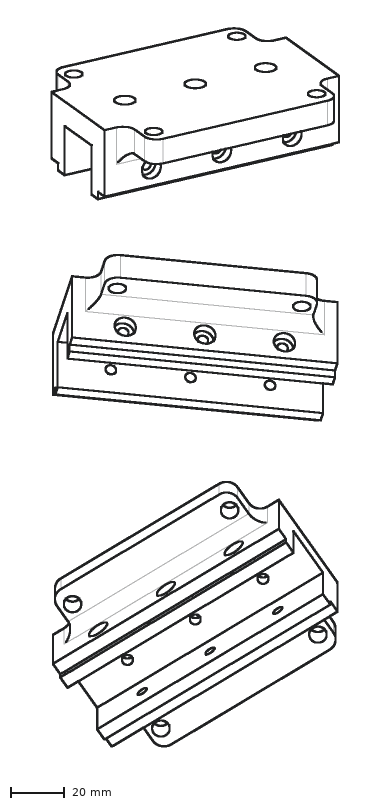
import cadquery as cq

length = 100.0
height = 30.0
body_width = 40.0
slot_width = 20.0

plate_width = 75.0
plate_length = 80.0
plate_thickness = 10.0
blend_radius = 5.0

foot_outer_width = 30.0
foot_height = 3.0

mount_diameter = 6.5
mount_spacing_x = 60.0
mount_spacing_y = 69.5
screw_diameter = 4.0
head_diameter = 8.0
head_depth = 4.0
screw_pitch = 30.0
screw_count = 3
side_screw_z = 10.0

plate_bottom = height - plate_thickness


def profile_prism():
    """Cross-section with underside fillets and feet, centred along Y."""
    half_body = body_width / 2
    half_plate = plate_width / 2
    half_foot = foot_outer_width / 2
    half_slot = slot_width / 2
    section = (
        cq.Workplane("XZ", origin=(0, length / 2, 0))
        .moveTo(0, height)
        .lineTo(half_plate, height)
        .lineTo(half_plate, plate_bottom)
        .lineTo(half_body + blend_radius, plate_bottom)
        .radiusArc((half_body, plate_bottom - blend_radius), -blend_radius)
        .lineTo(half_body, foot_height)
        .lineTo(half_foot, foot_height)
        .lineTo(half_foot, 0)
        .lineTo(half_slot, 0)
        .lineTo(half_slot, plate_bottom)
        .lineTo(0, plate_bottom)
        .mirrorY()
    )
    return section.extrude(length)


def plan_prism():
    """Cross-shaped plan outline with every inner and outer plate corner rounded."""
    body = cq.Workplane("XY").box(body_width, length, height, centered=(True, True, False))
    plate = (
        cq.Workplane("XY")
        .box(plate_width, plate_length, height, centered=(True, True, False))
        .edges("|Z")
        .fillet(blend_radius)
    )
    reach_x = body_width / 2 + blend_radius
    reach_y = plate_length / 2 + blend_radius
    inner_corners = cq.selectors.BoxSelector((-reach_x, -reach_y, 0), (reach_x, reach_y, height))
    return body.union(plate).edges("|Z").edges(inner_corners).fillet(blend_radius)


def drill_counterbored_row(part, plane, origin, drill_depth):
    """Row of counterbored screw holes along Y, drilled inward from a face."""
    row = cq.Workplane(plane, origin=origin)
    offsets = [(i - (screw_count - 1) / 2) * screw_pitch for i in range(screw_count)]
    points = [row.plane.toLocalCoords(cq.Vector(origin[0], y, origin[2])) for y in offsets]
    centres = [(p.x, p.y) for p in points]
    screws = row.pushPoints(centres).circle(screw_diameter / 2).extrude(-drill_depth)
    heads = row.pushPoints(centres).circle(head_diameter / 2).extrude(-head_depth)
    return part.cut(screws).cut(heads)


result = profile_prism().intersect(plan_prism())

mount_holes = (
    cq.Workplane("XY", origin=(0, 0, plate_bottom))
    .rarray(mount_spacing_x, mount_spacing_y, 2, 2)
    .circle(mount_diameter / 2)
    .extrude(plate_thickness)
)
result = result.cut(mount_holes)

wall_thickness = (body_width - slot_width) / 2
result = drill_counterbored_row(result, "XY", (0, 0, height), plate_thickness)
result = drill_counterbored_row(result, "YZ", (body_width / 2, 0, side_screw_z), wall_thickness)
result = drill_counterbored_row(result, "ZY", (-body_width / 2, 0, side_screw_z), wall_thickness)